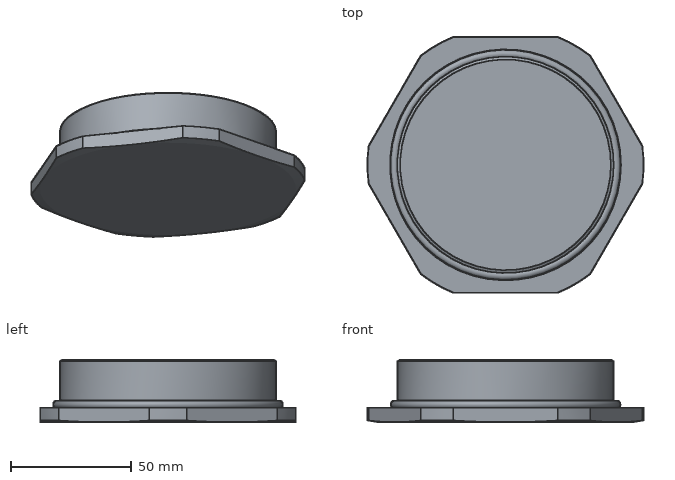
import cadquery as cq

corner_diameter = 114.9
across_flats = 106.4
hexagon_turn = 30
flange_thickness = 6.0
flange_chamfer_height = 0.7

total_height = 26.0
plug_diameter = 90.0
plug_top_diameter = 87.5
plug_chamfer_height = 0.7

ring_outer_diameter = 95.6
neck_diameter = 88.9
recess_diameter = 96.0
ring_top = 9.0
neck_top = 9.1

ring_section_diameter = (ring_outer_diameter - neck_diameter) / 2
ring_section_radius = ring_section_diameter / 2
ring_center_radius = (neck_diameter + ring_section_diameter) / 2
ring_center_height = ring_top - ring_section_radius
recess_floor = ring_top - ring_section_diameter


def make_flange():
    """Hexagon trimmed by a round blank whose bottom edge is chamfered down to the flats."""
    hexagon = (
        cq.Workplane("XY")
        .polygon(6, across_flats, circumscribed=True)
        .extrude(flange_thickness)
        .rotate((0, 0, 0), (0, 0, 1), hexagon_turn)
    )
    round_blank = (
        cq.Workplane("XZ")
        .lineTo(across_flats / 2, 0)
        .lineTo(corner_diameter / 2, flange_chamfer_height)
        .lineTo(corner_diameter / 2, flange_thickness)
        .lineTo(0, flange_thickness)
        .close()
        .revolve(360, (0, 0, 0), (0, 1, 0))
    )
    return hexagon.intersect(round_blank)


def make_plug():
    """Cylinder with a chamfered top edge."""
    return (
        cq.Workplane("XZ")
        .lineTo(plug_diameter / 2, 0)
        .lineTo(plug_diameter / 2, total_height - plug_chamfer_height)
        .lineTo(plug_top_diameter / 2, total_height)
        .lineTo(0, total_height)
        .close()
        .revolve(360, (0, 0, 0), (0, 1, 0))
    )


def make_ring_seat():
    """Annular cutter that forms both the neck and the flange recess."""
    return (
        cq.Workplane("XY", origin=(0, 0, recess_floor))
        .circle(recess_diameter / 2)
        .circle(neck_diameter / 2)
        .extrude(neck_top - recess_floor)
    )


def make_cap():
    return make_flange().union(make_plug()).cut(make_ring_seat())


def make_sealing_ring():
    return (
        cq.Workplane("XZ")
        .center(ring_center_radius, ring_center_height)
        .circle(ring_section_radius)
        .revolve(360, (-ring_center_radius, 0, 0), (-ring_center_radius, 1, 0))
    )


cap = make_cap()
sealing_ring = make_sealing_ring()

result = cq.Compound.makeCompound([cap.val(), sealing_ring.val()])